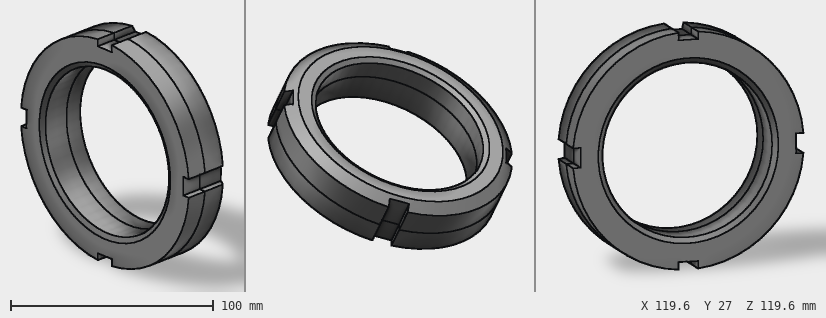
import cadquery as cq
import math

span = 119.6
thickness = 27.0
y_front = -thickness / 2
y_back = thickness / 2

slot_count = 4
slot_width = 10.0
slot_floor = 56.0

outer_radius = math.hypot(span / 2, slot_width / 2)

bore_radius = 44.0
bore_chamfer_depth = 2.8
bore_chamfer_angle = 30
bore_chamfer_length = bore_chamfer_depth * math.tan(math.radians(bore_chamfer_angle))

rim_seam_inset = 11.1
y_rim_seam = y_front + rim_seam_inset
y_bore_seam = -y_rim_seam
spigot_radius = (bore_radius + slot_floor) / 2

bevel_length = 3.6
bevel_depth = 6.2


def revolved_ring(profile):
    """Turn a closed (radius, y) profile around the Y axis."""
    return cq.Workplane("XY").polyline(profile).close().revolve(360, (0, 0, 0), (0, 1, 0))


def spanner_slots():
    """Cutters for the evenly spaced rim slots, running through the full thickness."""
    slot_depth = outer_radius - slot_floor
    cutters = cq.Workplane("XY")
    for index in range(slot_count):
        cutter = (
            cq.Workplane("XY")
            .box(slot_depth, thickness, slot_width)
            .translate((slot_floor + slot_depth / 2, 0, 0))
            .rotate((0, 0, 0), (0, 1, 0), index * 360 / slot_count)
        )
        cutters = cutters.add(cutter)
    return cutters.combine()


def make_front_ring():
    """Front ring, with the spigot and the chamfered front mouth of the bore."""
    profile = [
        (bore_radius + bore_chamfer_depth, y_front),
        (outer_radius, y_front),
        (outer_radius, y_rim_seam),
        (spigot_radius, y_rim_seam),
        (spigot_radius, y_bore_seam),
        (bore_radius, y_bore_seam),
        (bore_radius, y_front + bore_chamfer_length),
    ]
    return revolved_ring(profile).cut(spanner_slots()).solids()


def make_back_ring():
    """Back ring, with the recess, the bevelled rim and the chamfered back mouth of the bore."""
    profile = [
        (bore_radius, y_bore_seam),
        (spigot_radius, y_bore_seam),
        (spigot_radius, y_rim_seam),
        (outer_radius, y_rim_seam),
        (outer_radius, y_back - bevel_length),
        (outer_radius - bevel_depth, y_back),
        (bore_radius + bore_chamfer_depth, y_back),
        (bore_radius, y_back - bore_chamfer_length),
    ]
    return revolved_ring(profile).cut(spanner_slots()).solids()


front_ring = make_front_ring()
back_ring = make_back_ring()
result = cq.Compound.makeCompound([front_ring.val(), back_ring.val()])